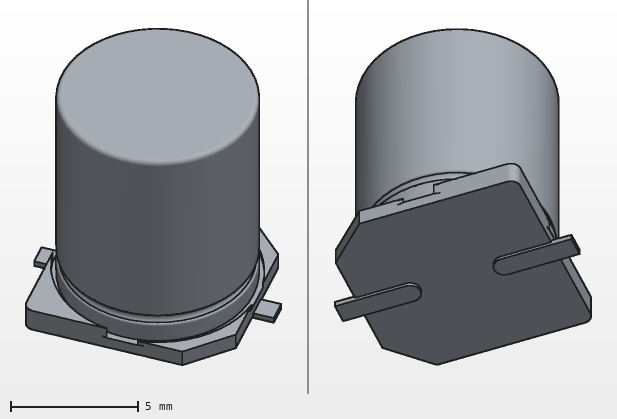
import cadquery as cq
import math

total_height = 10.2

base_size = 8.3
base_bottom = 0.15
base_height = 1.0
corner_chamfer = 1.65
corner_radius = 0.4
lowered_step = 0.28
recess_radius = 4.2
recess_depth = 0.5

can_diameter = 8.0
rim_radius = 0.2
groove_bottom = 1.55
groove_top = 2.15
groove_depth = 0.2
groove_lip_radius = 0.1

terminal_span = 10.0
terminal_width = 0.88
terminal_thickness = 0.25
terminal_inner_end = 1.56

base_half = base_size / 2
base_top = base_bottom + base_height
recess_floor = base_top - recess_depth
can_radius = can_diameter / 2


def make_base():
    plate = (
        cq.Workplane("XY", origin=(0, 0, base_bottom))
        .rect(base_size, base_size)
        .extrude(base_height)
    )
    plate = plate.edges("|Z and >X").chamfer(corner_chamfer)
    plate = plate.edges("|Z and <X").fillet(corner_radius)
    lowered_half = (
        cq.Workplane("XY", origin=(0, 0, base_top - lowered_step))
        .rect(base_half, base_size, centered=(False, True))
        .extrude(lowered_step)
    )
    recess = (
        cq.Workplane("XY", origin=(0, 0, recess_floor))
        .circle(recess_radius)
        .extrude(recess_depth)
    )
    return plate.cut(lowered_half).cut(recess)


def make_can():
    """Revolved can with rounded rims and a rolled groove near its foot."""
    diagonal = math.sqrt(0.5)
    rim_start = can_radius - rim_radius
    rim_middle = rim_start + rim_radius * diagonal
    lip_middle_inset = groove_lip_radius * (1 - diagonal)
    lip_height = groove_lip_radius * diagonal
    groove_middle = (groove_bottom + groove_top) / 2
    throat_radius = can_radius - groove_depth
    lip_inner_radius = can_radius - groove_lip_radius
    profile = (
        cq.Workplane("XZ")
        .moveTo(0, recess_floor)
        .lineTo(rim_start, recess_floor)
        .threePointArc(
            (rim_middle, recess_floor + rim_radius * (1 - diagonal)),
            (can_radius, recess_floor + rim_radius),
        )
        .lineTo(can_radius, groove_bottom)
        .threePointArc(
            (can_radius - lip_middle_inset, groove_bottom + lip_height),
            (lip_inner_radius, groove_bottom + groove_lip_radius),
        )
        .threePointArc(
            (throat_radius, groove_middle),
            (lip_inner_radius, groove_top - groove_lip_radius),
        )
        .threePointArc(
            (can_radius - lip_middle_inset, groove_top - lip_height),
            (can_radius, groove_top),
        )
        .lineTo(can_radius, total_height - rim_radius)
        .threePointArc(
            (rim_middle, total_height - rim_radius * (1 - diagonal)),
            (rim_start, total_height),
        )
        .lineTo(0, total_height)
        .close()
    )
    return profile.revolve(360, (0, 0, 0), (0, 1, 0))


def make_terminal(side):
    """Flat terminal on the given X side (+1 or -1) with a rounded inner tip."""
    half_width = terminal_width / 2
    outer_x = side * terminal_span / 2
    tip_x = side * terminal_inner_end
    shoulder_x = side * (terminal_inner_end + half_width)
    return (
        cq.Workplane("XY")
        .moveTo(outer_x, -half_width)
        .lineTo(shoulder_x, -half_width)
        .threePointArc((tip_x, 0), (shoulder_x, half_width))
        .lineTo(outer_x, half_width)
        .close()
        .extrude(terminal_thickness)
    )


result = make_base().union(make_can())
for side in (-1, 1):
    result = result.union(make_terminal(side))